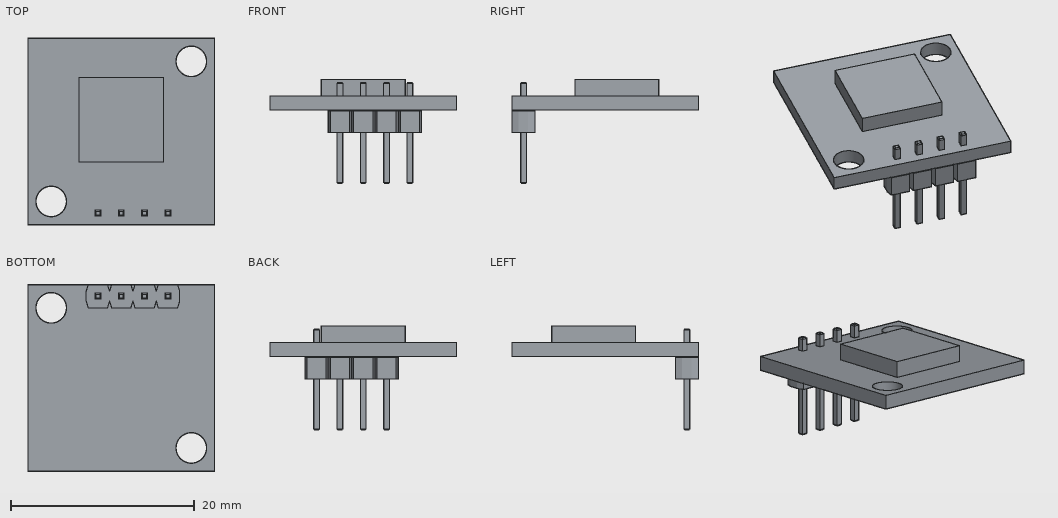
import cadquery as cq

board_side = 20.32
board_thickness = 1.56

total_height = 11.32

hole_diameter = 3.3
hole_offset = 7.62

block_side = 9.15
block_height = 1.79

pin_count = 4
pin_pitch = 2.55
pin_side = 0.65
pin_length = 11.0
pin_bevel = 0.12
header_gap = 0.08
header_height = 2.35
header_corner_x = 0.22
header_corner_y = 0.73

block_y = pin_pitch / 2
header_x = pin_pitch / 2
header_y = -board_side / 2 + pin_pitch / 2

pin_bottom = block_height - total_height
header_top = -board_thickness - header_gap
pin_positions = [
    (header_x + (index - (pin_count - 1) / 2) * pin_pitch, header_y)
    for index in range(pin_count)
]


def make_board():
    """Square plate with two through holes on a diagonal."""
    plate = cq.Workplane("XY").rect(board_side, board_side).extrude(-board_thickness)
    hole_centers = [(hole_offset, hole_offset), (-hole_offset, -hole_offset)]
    return plate.faces(">Z").workplane().pushPoints(hole_centers).hole(hole_diameter)


def make_block():
    """Square block standing on the board."""
    return cq.Workplane("XY").center(0, block_y).rect(block_side, block_side).extrude(block_height)


def make_header_cell(x, y):
    """Octagonal plastic cell around one pin."""
    half = pin_pitch / 2
    flat_x = half - header_corner_x
    flat_y = half - header_corner_y
    outline = [
        (flat_x, half), (half, flat_y), (half, -flat_y), (flat_x, -half),
        (-flat_x, -half), (-half, -flat_y), (-half, flat_y), (-flat_x, half),
    ]
    base = cq.Workplane("XY", origin=(x, y, header_top))
    return base.polyline(outline).close().extrude(-header_height)


def make_pin(x, y):
    """Square pin with both ends bevelled."""
    base = cq.Workplane("XY", origin=(x, y, pin_bottom))
    pin = base.rect(pin_side, pin_side).extrude(pin_length)
    pin = pin.faces(">Z").chamfer(pin_bevel)
    return pin.faces("<Z").chamfer(pin_bevel)


result = make_board().union(make_block())
for pin_x, pin_y in pin_positions:
    result = result.union(make_header_cell(pin_x, pin_y))
    result = result.union(make_pin(pin_x, pin_y))